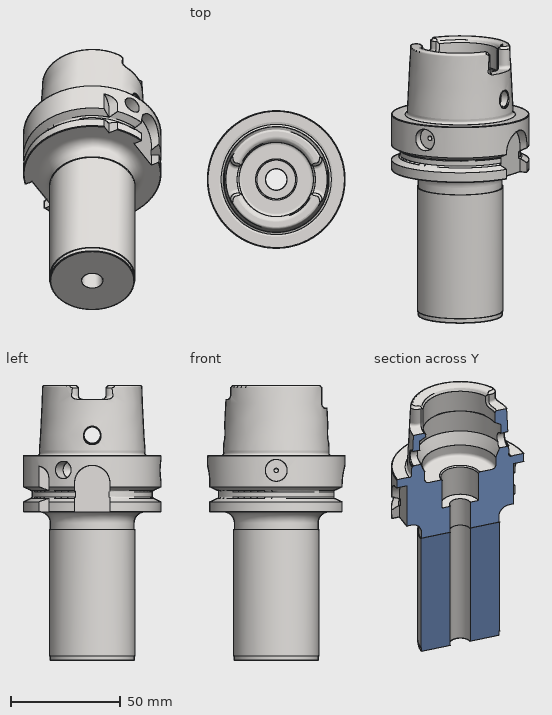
import cadquery as cq
import math

TOTAL_LENGTH = 125.9
SIDES = (-1, 1)
ARC_MIDDLE = 1 - math.sqrt(0.5)

TAPER_LENGTH = 32.0
TAPER_GAUGE_HEIGHT = 6.3
TAPER_GAUGE_RADIUS = 24.0
TAPER_SLOPE = 0.05
RIM_ROUNDING = 1.0
UNDERCUT_TOP = 2.0
UNDERCUT_BOTTOM = 1.1
UNDERCUT_DEPTH = 0.1
RELIEF_DEPTH = 0.25
RELIEF_RADIUS = 26.2
RELIEF_SLOPE_WIDTH = 1.0

FLANGE_RADIUS = 31.47
FLANGE_HEIGHT = 25.9
FLANGE_CHAMFER = 0.3
GRIP_RADIUS = 27.5
GRIP_TOP = -14.4
GRIP_WIDTH = 6.9
GRIP_FLANK_DEPTH = 1.6
GRIP_FILLET = 0.7

NECK_RADIUS = 19.2
NECK_FILLET = 5.0
SHANK_TOP = -34.0
SHANK_RADIUS = 19.62
SHANK_END_RADIUS = 19.3
SHANK_END_HEIGHT = 2.2
SHANK_END_CHAMFER = 0.3

MOUTH_RADIUS = 19.5
LIP_RADIUS = 17.6
LIP_DROP = 1.0
LIP_CONE_BOTTOM = 29.8
BORE_RADIUS = 17.0
BORE_BOTTOM = 19.3
RECESS_RADIUS = 20.0
RECESS_SHOULDER_ANGLE = 30.0
RECESS_BOTTOM = 7.0
WELL_RADIUS = 17.5
WELL_TOP = 1.0
WELL_FLOOR = -5.0
WELL_FLOOR_FILLET = 1.8
THREAD_RADIUS = 8.85
THREAD_CHAMFER = 0.6
THREAD_DEPTH = 15.0
COOLANT_RADIUS = 4.85

KEY_HALF_WIDTH = 6.25
KEY_CORNER_RADIUS = 3.0
KEY_FACE_X = 20.9
KEY_FLOOR_FILLET = 1.7
KEY_TOP_CHAMFER = 1.2
KEY_INNER_CHAMFER = 0.9
KEY_DEPTHS = {-1: 6.4, 1: 10.4}

CROSS_HOLE_HEIGHT = 9.2
CROSS_HOLE_RADIUS = 3.7
CROSS_HOLE_SINK_RADIUS = 4.35

SLOT_FLOOR_X = 26.4
SLOT_TOP = -4.6
SLOT_RADII = {-1: 8.1, 1: 9.0}

NOTCH_POSITION = 19.85
NOTCH_RADIUS = 5.5
NOTCH_TOP = -4.9

POCKET_HEIGHT = -6.9
POCKET_RADIUS = 5.0
POCKET_DEPTH = 4.6
VENT_RADIUS = 1.0
VENT_DEPTH = 3.0

DRILL_HEIGHT = -6.7
DRILL_ANGLE = 155.0
DRILL_RADIUS = 3.95
DRILL_DEPTH = 8.5
DRILL_TIP_ANGLE = 118.0


def taper_radius(z):
    return TAPER_GAUGE_RADIUS - TAPER_SLOPE * (z - TAPER_GAUGE_HEIGHT)


def revolve(profile):
    """Turns an open half profile, drawn in the XZ plane, around the Z axis."""
    return profile.close().revolve(360, (0, 0, 0), (0, 1, 0))


def drilled(radius, depth, origin, inward):
    """A cylinder with a conical end, running from origin along inward."""
    plane = cq.Plane(origin=origin, xDir=(0, 0, 1), normal=inward)
    body = cq.Workplane(plane).circle(radius).extrude(depth)
    tip_height = radius / math.tan(math.radians(DRILL_TIP_ANGLE / 2))
    tip = cq.Solid.makeCone(radius, 0, tip_height, plane.toWorldCoords((0, 0, depth)), inward)
    return body.union(cq.Workplane(tip))


def holder_blank():
    undercut_radius = taper_radius(UNDERCUT_TOP) - UNDERCUT_DEPTH
    relief_floor = RELIEF_RADIUS - RELIEF_SLOPE_WIDTH
    relief_width = relief_floor - undercut_radius
    relief_height = UNDERCUT_BOTTOM + RELIEF_DEPTH
    grip_bottom = GRIP_TOP - GRIP_WIDTH
    flank_top = GRIP_TOP - GRIP_FLANK_DEPTH
    flank_bottom = grip_bottom + GRIP_FLANK_DEPTH
    g = GRIP_FILLET
    rim = taper_radius(TAPER_LENGTH - RIM_ROUNDING)
    c = FLANGE_CHAMFER
    profile = (
        cq.Workplane("XZ")
        .moveTo(0, TAPER_LENGTH)
        .lineTo(rim - RIM_ROUNDING, TAPER_LENGTH)
        .threePointArc(
            (rim - RIM_ROUNDING * ARC_MIDDLE, TAPER_LENGTH - RIM_ROUNDING * ARC_MIDDLE),
            (rim, TAPER_LENGTH - RIM_ROUNDING),
        )
        .lineTo(taper_radius(UNDERCUT_TOP), UNDERCUT_TOP)
        .lineTo(undercut_radius, UNDERCUT_BOTTOM)
        .threePointArc(
            (undercut_radius + relief_width * ARC_MIDDLE, -RELIEF_DEPTH + relief_height * ARC_MIDDLE),
            (relief_floor, -RELIEF_DEPTH),
        )
        .lineTo(RELIEF_RADIUS, 0)
        .lineTo(FLANGE_RADIUS - c, 0)
        .lineTo(FLANGE_RADIUS, -c)
        .lineTo(FLANGE_RADIUS, GRIP_TOP)
        .lineTo(GRIP_RADIUS + g, flank_top)
        .threePointArc(
            (GRIP_RADIUS + g * ARC_MIDDLE, flank_top - g * ARC_MIDDLE),
            (GRIP_RADIUS, flank_top - g),
        )
        .lineTo(GRIP_RADIUS, flank_bottom + g)
        .threePointArc(
            (GRIP_RADIUS + g * ARC_MIDDLE, flank_bottom + g * ARC_MIDDLE),
            (GRIP_RADIUS + g, flank_bottom),
        )
        .lineTo(FLANGE_RADIUS, grip_bottom)
        .lineTo(FLANGE_RADIUS, c - FLANGE_HEIGHT)
        .lineTo(FLANGE_RADIUS - c, -FLANGE_HEIGHT)
        .lineTo(NECK_RADIUS + NECK_FILLET, -FLANGE_HEIGHT)
        .threePointArc(
            (NECK_RADIUS + NECK_FILLET * ARC_MIDDLE, -FLANGE_HEIGHT - NECK_FILLET * ARC_MIDDLE),
            (NECK_RADIUS, -FLANGE_HEIGHT - NECK_FILLET),
        )
        .lineTo(NECK_RADIUS, SHANK_TOP)
        .lineTo(0, SHANK_TOP)
    )
    return revolve(profile)


def holder_mouth():
    lip_width = MOUTH_RADIUS - LIP_RADIUS
    lip_rounding = (lip_width**2 + LIP_DROP**2) / (2 * LIP_DROP)
    half_sweep = math.atan2(LIP_DROP, lip_width)
    profile = (
        cq.Workplane("XZ")
        .moveTo(0, TAPER_LENGTH)
        .lineTo(MOUTH_RADIUS, TAPER_LENGTH)
        .threePointArc(
            (
                MOUTH_RADIUS - lip_rounding * math.sin(half_sweep),
                TAPER_LENGTH - lip_rounding * (1 - math.cos(half_sweep)),
            ),
            (LIP_RADIUS, TAPER_LENGTH - LIP_DROP),
        )
        .lineTo(BORE_RADIUS, LIP_CONE_BOTTOM)
        .lineTo(0, LIP_CONE_BOTTOM)
    )
    return revolve(profile)


def holder_bore():
    shoulder = (RECESS_RADIUS - BORE_RADIUS) * math.tan(math.radians(RECESS_SHOULDER_ANGLE))
    f = WELL_FLOOR_FILLET
    profile = (
        cq.Workplane("XZ")
        .moveTo(0, TAPER_LENGTH)
        .lineTo(BORE_RADIUS, TAPER_LENGTH)
        .lineTo(BORE_RADIUS, BORE_BOTTOM)
        .lineTo(RECESS_RADIUS, BORE_BOTTOM - shoulder)
        .lineTo(RECESS_RADIUS, RECESS_BOTTOM)
        .lineTo(WELL_RADIUS, WELL_TOP)
        .lineTo(WELL_RADIUS, WELL_FLOOR + f)
        .threePointArc(
            (WELL_RADIUS - f * ARC_MIDDLE, WELL_FLOOR + f * ARC_MIDDLE),
            (WELL_RADIUS - f, WELL_FLOOR),
        )
        .lineTo(THREAD_RADIUS + THREAD_CHAMFER, WELL_FLOOR)
        .lineTo(THREAD_RADIUS, WELL_FLOOR - THREAD_CHAMFER)
        .lineTo(THREAD_RADIUS, WELL_FLOOR - THREAD_DEPTH)
        .lineTo(COOLANT_RADIUS, WELL_FLOOR - THREAD_DEPTH)
        .lineTo(COOLANT_RADIUS, SHANK_TOP)
        .lineTo(0, SHANK_TOP)
    )
    return revolve(profile)


def key_outline(plane_height):
    """Plan of a keyway at +X: a slot whose outer corners are rounded into a flat face."""
    s = KEY_CORNER_RADIUS * ARC_MIDDLE
    inner = BORE_RADIUS / 2
    outer = FLANGE_RADIUS
    w = KEY_HALF_WIDTH
    return (
        cq.Workplane("XY", origin=(0, 0, plane_height))
        .moveTo(inner, -w)
        .lineTo(KEY_FACE_X - KEY_CORNER_RADIUS, -w)
        .threePointArc((KEY_FACE_X - s, -w - s), (KEY_FACE_X, -w - KEY_CORNER_RADIUS))
        .lineTo(KEY_FACE_X, -outer)
        .lineTo(outer, -outer)
        .lineTo(outer, outer)
        .lineTo(KEY_FACE_X, outer)
        .lineTo(KEY_FACE_X, w + KEY_CORNER_RADIUS)
        .threePointArc((KEY_FACE_X - s, w + s), (KEY_FACE_X - KEY_CORNER_RADIUS, w))
        .lineTo(inner, w)
        .close()
    )


def turned_to(side, cutter):
    return cutter if side > 0 else cutter.rotate((0, 0, 0), (0, 0, 1), 180)


def keyway(side):
    depth = KEY_DEPTHS[side]
    cutter = key_outline(TAPER_LENGTH - depth).extrude(depth)
    return turned_to(side, cutter.faces("<Z").edges().fillet(KEY_FLOOR_FILLET))


def keyway_flare(side):
    """Widens the top of a keyway, which chamfers the ends of the remaining rim."""
    flare = key_outline(TAPER_LENGTH - KEY_TOP_CHAMFER).extrude(KEY_TOP_CHAMFER, taper=-45)
    return turned_to(side, flare)


def cross_hole():
    hole = (
        cq.Workplane("YZ", origin=(-FLANGE_RADIUS, 0, CROSS_HOLE_HEIGHT))
        .circle(CROSS_HOLE_RADIUS)
        .extrude(2 * FLANGE_RADIUS)
    )
    sink = CROSS_HOLE_SINK_RADIUS - CROSS_HOLE_RADIUS
    start = taper_radius(CROSS_HOLE_HEIGHT)
    for side in SIDES:
        cone = cq.Solid.makeCone(
            CROSS_HOLE_SINK_RADIUS,
            CROSS_HOLE_RADIUS,
            sink,
            cq.Vector(side * start, 0, CROSS_HOLE_HEIGHT),
            cq.Vector(-side, 0, 0),
        )
        hole = hole.union(cq.Workplane(cone))
    return hole


def round_topped_slot(side):
    radius = SLOT_RADII[side]
    shoulder = SLOT_TOP - radius
    return (
        cq.Workplane("YZ", origin=(side * SLOT_FLOOR_X, 0, 0))
        .moveTo(-radius, -FLANGE_HEIGHT)
        .lineTo(-radius, shoulder)
        .threePointArc((0, SLOT_TOP), (radius, shoulder))
        .lineTo(radius, -FLANGE_HEIGHT)
        .close()
        .extrude(side * (FLANGE_RADIUS - SLOT_FLOOR_X))
    )


def notch():
    shoulder = NOTCH_TOP - NOTCH_RADIUS
    s = NOTCH_RADIUS * ARC_MIDDLE
    return (
        cq.Workplane("YZ", origin=(-NOTCH_POSITION, 0, 0))
        .moveTo(NOTCH_POSITION, -FLANGE_HEIGHT)
        .lineTo(NOTCH_POSITION, shoulder)
        .threePointArc((NOTCH_POSITION + s, NOTCH_TOP - s), (NOTCH_POSITION + NOTCH_RADIUS, NOTCH_TOP))
        .lineTo(FLANGE_RADIUS, NOTCH_TOP)
        .lineTo(FLANGE_RADIUS, -FLANGE_HEIGHT)
        .close()
        .extrude(NOTCH_POSITION - FLANGE_RADIUS)
    )


def chip_pocket():
    pocket = (
        cq.Workplane("XZ", origin=(0, POCKET_DEPTH - FLANGE_RADIUS, POCKET_HEIGHT))
        .circle(POCKET_RADIUS)
        .extrude(POCKET_DEPTH)
    )
    floor_point = cq.Vector(0, POCKET_DEPTH - FLANGE_RADIUS, POCKET_HEIGHT)
    return pocket.union(drilled(VENT_RADIUS, VENT_DEPTH, floor_point, cq.Vector(0, 1, 0)))


def flange_drilling():
    a = math.radians(DRILL_ANGLE)
    outward = cq.Vector(math.cos(a), math.sin(a), 0)
    origin = outward * FLANGE_RADIUS + cq.Vector(0, 0, DRILL_HEIGHT)
    return drilled(DRILL_RADIUS, DRILL_DEPTH, origin, outward * -1)


def make_holder():
    holder = holder_blank().cut(holder_bore())
    for side in SIDES:
        holder = holder.cut(keyway(side))
    c = KEY_INNER_CHAMFER
    key_corners = cq.selectors.BoxSelector(
        (-BORE_RADIUS - c, -KEY_HALF_WIDTH - c, BORE_BOTTOM + c),
        (BORE_RADIUS + c, KEY_HALF_WIDTH + c, TAPER_LENGTH - c),
    )
    holder = holder.edges(key_corners).chamfer(c)
    holder = holder.cut(holder_mouth())
    for side in SIDES:
        holder = holder.cut(keyway_flare(side))
        holder = holder.cut(round_topped_slot(side))
    for cutter in (cross_hole(), notch(), chip_pocket(), flange_drilling()):
        holder = holder.cut(cutter)
    return holder


def make_shank():
    bottom = TAPER_LENGTH - TOTAL_LENGTH
    profile = (
        cq.Workplane("XZ")
        .moveTo(COOLANT_RADIUS, SHANK_TOP)
        .lineTo(SHANK_RADIUS, SHANK_TOP)
        .lineTo(SHANK_RADIUS, bottom + SHANK_END_HEIGHT)
        .lineTo(SHANK_END_RADIUS, bottom + SHANK_END_HEIGHT)
        .lineTo(SHANK_END_RADIUS, bottom + SHANK_END_CHAMFER)
        .lineTo(SHANK_END_RADIUS - SHANK_END_CHAMFER, bottom)
        .lineTo(COOLANT_RADIUS, bottom)
    )
    return revolve(profile)


holder = make_holder()
shank = make_shank()
result = cq.Compound.makeCompound([holder.val(), shank.val()])